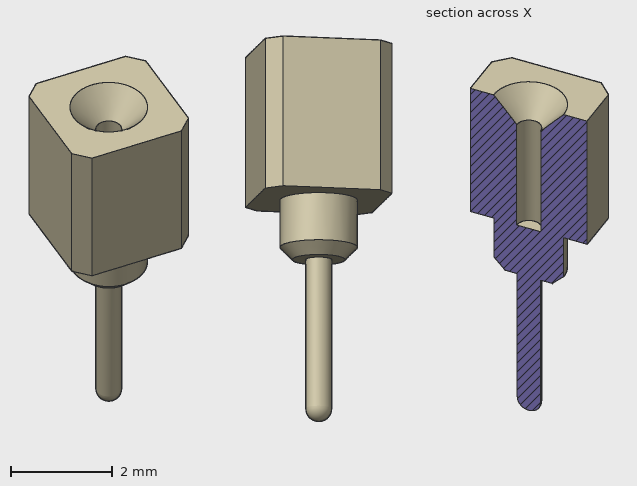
import cadquery as cq

total_height = 7.43
body_width = 2.54
body_height = 3.0
corner_chamfer = 0.3
collar_diameter = 1.52
collar_height = 1.19
collar_chamfer = 0.245
pin_diameter = 0.51
funnel_depth = 0.565

collar_top = total_height - body_height
collar_bottom = collar_top - collar_height
collar_radius = collar_diameter / 2
pin_radius = pin_diameter / 2


def make_body():
    """Square housing with chamfered vertical corners."""
    body = cq.Workplane("XY").workplane(offset=collar_top).rect(body_width, body_width).extrude(body_height)
    return body.edges("|Z").chamfer(corner_chamfer)


def make_stem():
    """Chamfered collar and round-tipped pin, turned about the Z axis."""
    tip_middle = pin_radius * 0.5 ** 0.5
    return (
        cq.Workplane("XZ")
        .moveTo(0, 0)
        .threePointArc((tip_middle, pin_radius - tip_middle), (pin_radius, pin_radius))
        .lineTo(pin_radius, collar_bottom)
        .lineTo(collar_radius - collar_chamfer, collar_bottom)
        .lineTo(collar_radius, collar_bottom + collar_chamfer)
        .lineTo(collar_radius, collar_top)
        .lineTo(0, collar_top)
        .close()
        .revolve(360, (0, 0, 0), (0, 1, 0))
    )


def make_socket():
    """Conical lead-in above a blind bore as wide as the pin, reaching the foot of the body."""
    funnel_bottom = total_height - funnel_depth
    return (
        cq.Workplane("XZ")
        .moveTo(0, collar_top)
        .lineTo(pin_radius, collar_top)
        .lineTo(pin_radius, funnel_bottom)
        .lineTo(collar_radius, total_height)
        .lineTo(0, total_height)
        .close()
        .revolve(360, (0, 0, 0), (0, 1, 0))
    )


result = make_body().union(make_stem()).cut(make_socket())